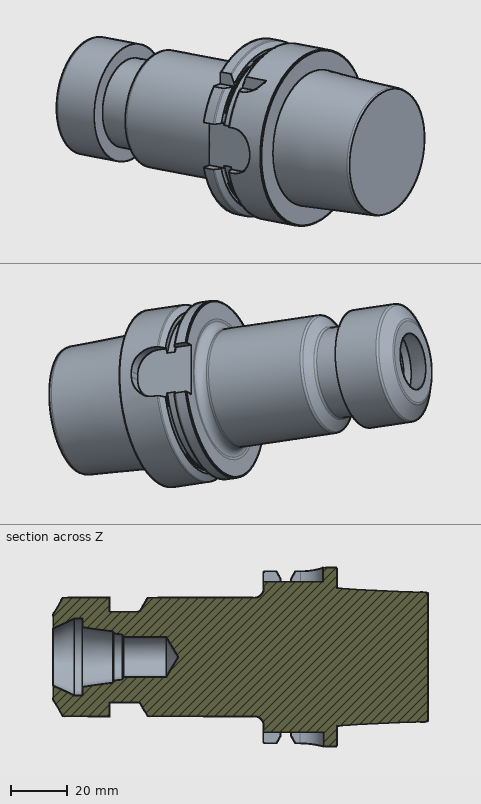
import cadquery as cq
import math

tail_length = 32.0
nose_x = -100.0
nut_back_x = -80.0
flange_front_x = -26.0

nut_radius = 42.0 / 2
body_radius = 42.0 / 2
neck_radius = 32.0 / 2
shoulder_angle = 30.0
nose_corner_radius = 14.95
nose_edge_fillet = 1.7
shoulder_fillet = 1.0
body_shoulder_x = -69.5

undercut_start_x = -30.0
undercut_radius = 41.8 / 2
undercut_depth = 0.1
undercut_arc = 3.2
undercut_rim_radius = 25.0

flange_radius = 63.0 / 2
flange_edge_chamfer = 0.4
groove_floor_radius = 55.0 / 2
groove_floor_front_x = -19.9
groove_floor_back_x = -16.3
groove_front_edge_x = -21.35
groove_back_edge_x = -14.75
groove_flank_angle = 30.0
groove_edge_fillet = 0.5
groove_floor_fillet = 0.4

taper_base_radius = 24.3
taper_tip_radius = 22.85
tail_chamfer_length = 1.0
tail_chamfer_depth = 0.35

opening_radius = 20.0 / 2
cavity_radius = 27.0 / 2
cavity_cone_length = 7.5
socket_x = nose_x + 10.4
socket_radius = 21.0 / 2
collet_taper_angle = 8.0
socket_end_radius = 18.0 / 2
relief_front_radius = 8.3
relief_back_radius = 7.9
drill_radius = 14.0 / 2
drill_length = 15.0
drill_tip_angle = 59.0

slot_floor = 26.5
front_slot_width = 16.5
front_slot_end_x = -4.85
back_slot_width = 18.0
back_slot_end_x = -5.0
back_slot_corner_radius = 8.0
notch_wall = 20.0
notch_runout_radius = 8.0
notch_runout_x = -13.2


def revolve(profile):
    return profile.close().revolve(360, (0, 0, 0), (1, 0, 0))


def cone_length(radius_change, half_angle):
    return abs(radius_change) / math.tan(math.radians(half_angle))


def circle_edge(solid, x, radius):
    """Select the full-circle edge of a turned solid at one place."""
    reach = 0.01
    selector = cq.selectors.BoxSelector(
        (x - reach, -radius - reach, -radius - reach),
        (x + reach, radius + reach, radius + reach),
        boundingbox=True,
    )
    return solid.edges(selector)


def turned_blank():
    shoulder_slope = math.tan(math.radians(shoulder_angle))
    nut_shoulder_x = nose_x + (nut_radius - nose_corner_radius) * shoulder_slope
    body_start_x = body_shoulder_x + (body_radius - neck_radius) * shoulder_slope
    undercut_end_x = flange_front_x + undercut_depth
    undercut_arc_radius_end = undercut_radius + undercut_arc
    arc_middle = undercut_arc * (1 - math.sqrt(0.5))
    flank_slope = math.tan(math.radians(groove_flank_angle))
    front_flank_foot = flange_radius - (groove_floor_front_x - groove_front_edge_x) / flank_slope
    back_flank_foot = flange_radius - (groove_back_edge_x - groove_floor_back_x) / flank_slope
    blank = revolve(
        cq.Workplane("XZ")
        .moveTo(nose_x, 0)
        .lineTo(nose_x, nose_corner_radius)
        .lineTo(nut_shoulder_x, nut_radius)
        .lineTo(nut_back_x, nut_radius)
        .lineTo(nut_back_x, neck_radius)
        .lineTo(body_shoulder_x, neck_radius)
        .lineTo(body_start_x, body_radius)
        .lineTo(undercut_start_x, body_radius)
        .lineTo(undercut_end_x - undercut_arc, undercut_radius)
        .threePointArc(
            (undercut_end_x - arc_middle, undercut_radius + arc_middle),
            (undercut_end_x, undercut_arc_radius_end),
        )
        .lineTo(flange_front_x, undercut_rim_radius)
        .lineTo(flange_front_x, flange_radius - flange_edge_chamfer)
        .lineTo(flange_front_x + flange_edge_chamfer, flange_radius)
        .lineTo(groove_front_edge_x, flange_radius)
        .lineTo(groove_floor_front_x, front_flank_foot)
        .lineTo(groove_floor_front_x, groove_floor_radius)
        .lineTo(groove_floor_back_x, groove_floor_radius)
        .lineTo(groove_floor_back_x, back_flank_foot)
        .lineTo(groove_back_edge_x, flange_radius)
        .lineTo(-flange_edge_chamfer, flange_radius)
        .lineTo(0, flange_radius - flange_edge_chamfer)
        .lineTo(0, taper_base_radius)
        .lineTo(tail_length - tail_chamfer_length, taper_tip_radius)
        .lineTo(tail_length, taper_tip_radius - tail_chamfer_depth)
        .lineTo(tail_length, 0)
    )
    blank = circle_edge(blank, nose_x, nose_corner_radius).fillet(nose_edge_fillet)
    for x, radius in (
        (nut_shoulder_x, nut_radius),
        (body_shoulder_x, neck_radius),
        (body_start_x, body_radius),
    ):
        blank = circle_edge(blank, x, radius).fillet(shoulder_fillet)
    for x in (groove_front_edge_x, groove_back_edge_x):
        blank = circle_edge(blank, x, flange_radius).fillet(groove_edge_fillet)
    for x in (groove_floor_front_x, groove_floor_back_x):
        blank = circle_edge(blank, x, groove_floor_radius).fillet(groove_floor_fillet)
    return blank


def collet_bore():
    cavity_x = nose_x + cavity_cone_length
    socket_end_x = socket_x + cone_length(socket_radius - socket_end_radius, collet_taper_angle)
    relief_x = socket_end_x + cone_length(socket_end_radius - relief_front_radius, drill_tip_angle)
    relief_end_x = relief_x + cone_length(relief_front_radius - relief_back_radius, collet_taper_angle)
    drill_x = relief_end_x + cone_length(relief_back_radius - drill_radius, drill_tip_angle)
    drill_end_x = drill_x + drill_length
    return revolve(
        cq.Workplane("XZ")
        .moveTo(nose_x, 0)
        .lineTo(nose_x, opening_radius)
        .lineTo(cavity_x, cavity_radius)
        .lineTo(socket_x, cavity_radius)
        .lineTo(socket_x, socket_radius)
        .lineTo(socket_end_x, socket_end_radius)
        .lineTo(relief_x, relief_front_radius)
        .lineTo(relief_end_x, relief_back_radius)
        .lineTo(drill_x, drill_radius)
        .lineTo(drill_end_x, drill_radius)
        .lineTo(drill_end_x + cone_length(drill_radius, drill_tip_angle), 0)
    )


def front_slot():
    """Driving slot on the -Y side, open at the flange front and fully rounded at its end."""
    depth = flange_radius - slot_floor
    length = front_slot_end_x - flange_front_x + front_slot_width
    return (
        cq.Workplane("XZ", origin=(front_slot_end_x - length / 2, -slot_floor, 0))
        .slot2D(length, front_slot_width)
        .extrude(depth)
    )


def back_slot():
    """Wider driving slot on the +Y side, open at the flange front, with rounded end corners."""
    length = back_slot_end_x - flange_front_x
    depth = flange_radius - slot_floor
    return (
        cq.Workplane("XY")
        .box(length, depth, back_slot_width)
        .edges("|Y and >X")
        .fillet(back_slot_corner_radius)
        .translate((back_slot_end_x - length / 2, slot_floor + depth / 2, 0))
    )


def orientation_notch():
    """Corner notch on the -Y, +Z side whose floor runs out in a round end."""
    depth = flange_radius - notch_wall
    floor_length = notch_runout_x - flange_front_x
    floor = cq.Workplane("XY").box(floor_length, depth, depth, centered=False)
    floor = floor.translate((flange_front_x, -flange_radius, notch_wall))
    runout = (
        cq.Workplane("XZ", origin=(0, -notch_wall, 0))
        .center(notch_runout_x, notch_wall + notch_runout_radius)
        .circle(notch_runout_radius)
        .extrude(depth)
    )
    return floor.union(runout)


result = (
    turned_blank()
    .cut(collet_bore())
    .cut(front_slot())
    .cut(back_slot())
    .cut(orientation_notch())
)